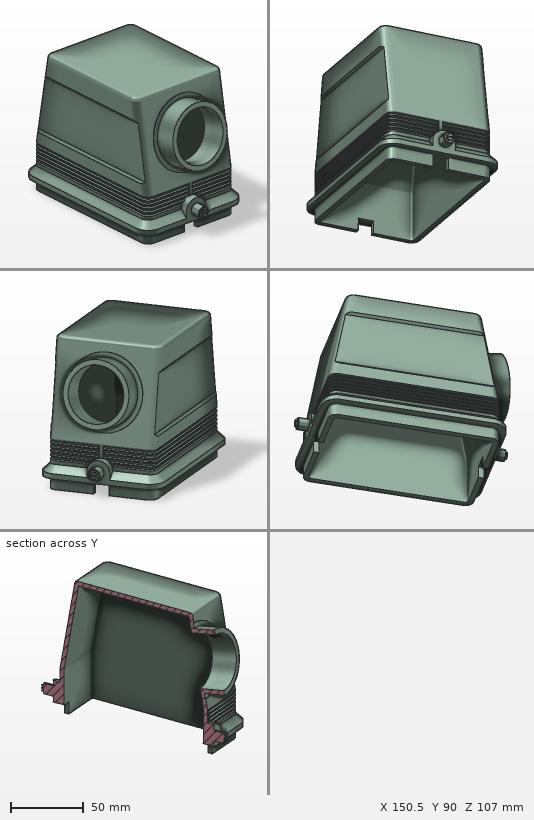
import cadquery as cq
import math


overall_length = 150.5
hood_length = 121.0
hood_width = 79.3
hood_height = 107.0
wall = 3.8
corner_radius = 6.0
top_radius = 3.0
knee_height = 36.3
end_tilt = 10.0

flange_width = 90.0
flange_reach = (flange_width - hood_width) / 2
flange_length = hood_length + 2 * flange_reach
flange_bottom = 9.2
flange_edge_top = 13.0
flange_slope_top = 18.2

groove_count = 5
groove_pitch = 3.0
first_groove_height = 22.1
groove_depth = 1.2
groove_floor = 1.2
groove_slope = 0.6

recess_depth = 1.5
recess_bottom = 44.7
recess_top = 90.3
recess_slope = 1.8

notch_width = 11.7

boss_radius = 8.6
pin_height = 17.6
pin_radius = 4.2
pin_chamfer = 0.5
tip_radius = 2.4
tip_length = 1.4
tip_slot = 0.6
end_rib_width = 3.0
end_rib_top = 35.8

entry_distance = 36.1
entry_radius = 24.4
entry_bore_radius = 20.6
entry_length = 16.3
entry_ring_radius = 28.1
entry_ring_depth = 0.5

embed = wall / 2
margin = 3.0


def tapered_block(length, width, height, corner):
    """Solid with vertical lower ends, leaning upper ends and rounded upright corners."""
    half = length / 2
    lean = (height - knee_height) * math.tan(math.radians(end_tilt))
    outline = [
        (-half, 0),
        (half, 0),
        (half, knee_height),
        (half - lean, height),
        (lean - half, height),
        (-half, knee_height),
    ]
    block = cq.Workplane("XZ").polyline(outline).close().extrude(width / 2, both=True)
    return block.faces("<Y or >Y").edges("not |X").fillet(corner)


def rim_outline(offset):
    """Skirt outline, grown outwards by offset."""
    outline = cq.Sketch().rect(hood_length + 2 * offset, hood_width + 2 * offset)
    return outline.vertices().fillet(corner_radius + offset)


def rim_slab(offset, bottom, top):
    return cq.Workplane("XY", origin=(0, 0, bottom)).placeSketch(rim_outline(offset)).extrude(top - bottom)


def rim_slope(lower_offset, upper_offset, bottom, top):
    """Sloping-sided slab that follows the skirt outline."""
    lower = rim_outline(lower_offset)
    upper = rim_outline(upper_offset).moved(cq.Location(cq.Vector(0, 0, top - bottom)))
    return cq.Workplane("XY", origin=(0, 0, bottom)).placeSketch(lower, upper).loft()


def groove_cutter(height):
    """Ring with a trapezoidal section, centred on the given height."""
    floor_bottom = height - groove_floor / 2
    floor_top = height + groove_floor / 2
    bottom = floor_bottom - groove_slope
    top = floor_top + groove_slope
    core = rim_slab(-groove_depth, floor_bottom, floor_top)
    core = core.union(rim_slope(0, -groove_depth, bottom, floor_bottom))
    core = core.union(rim_slope(-groove_depth, 0, floor_top, top))
    return rim_slab(margin, bottom, top).cut(core)


def side_recess_cutter():
    """Recess with sloping top and bottom for the +Y side, open at both ends."""
    surface = hood_width / 2
    floor = surface - recess_depth
    outline = [
        (surface, recess_bottom),
        (floor, recess_bottom + recess_slope),
        (floor, recess_top - recess_slope),
        (surface, recess_top),
        (surface + margin, recess_top),
        (surface + margin, recess_bottom),
    ]
    return cq.Workplane("YZ").polyline(outline).close().extrude(hood_length / 2 + margin, both=True)


def pin_end():
    """Boss, locking pin and end rib of the +X end."""
    skirt_face = hood_length / 2
    boss_face = flange_length / 2
    pin_end_face = overall_length / 2 - tip_length
    root = skirt_face - embed

    boss = cq.Workplane("YZ", origin=(root, 0, pin_height)).circle(boss_radius).extrude(boss_face - root)
    foot = cq.Workplane("XY", origin=(0, 0, flange_bottom)).box(
        boss_face - root, 2 * boss_radius, pin_height - flange_bottom, centered=(False, True, False)
    ).translate((root, 0, 0))
    rib = cq.Workplane("XY", origin=(0, 0, pin_height)).box(
        embed, end_rib_width, end_rib_top - pin_height, centered=(False, True, False)
    ).translate((root, 0, 0))

    pin = cq.Workplane("YZ", origin=(boss_face, 0, pin_height)).circle(pin_radius)
    pin = pin.extrude(pin_end_face - boss_face).faces(">X").chamfer(pin_chamfer)
    tip = cq.Workplane("YZ", origin=(pin_end_face, 0, pin_height)).circle(tip_radius).extrude(tip_length)
    slot = cq.Workplane("YZ", origin=(pin_end_face, 0, pin_height))
    slot = slot.rect(2 * tip_radius, tip_slot).extrude(tip_length)
    return boss.union(foot).union(rib).union(pin).union(tip.cut(slot))


hood = tapered_block(hood_length, hood_width, hood_height, corner_radius)
hood = hood.faces(">Z").edges().fillet(top_radius)

for index in range(groove_count):
    hood = hood.cut(groove_cutter(first_groove_height + index * groove_pitch))

recess = side_recess_cutter()
hood = hood.cut(recess).cut(recess.mirror("XZ"))

hood = hood.union(rim_slab(flange_reach, flange_bottom, flange_edge_top))
hood = hood.union(rim_slope(flange_reach, 0, flange_edge_top, flange_slope_top))

end = pin_end()
hood = hood.union(end).union(end.mirror("YZ"))

cavity = tapered_block(
    hood_length - 2 * wall, hood_width - 2 * wall, hood_height - wall, corner_radius - wall
)
hood = hood.cut(cavity)

notch = cq.Workplane("XY").box(hood_length + margin, notch_width, flange_bottom, centered=(True, True, False))
hood = hood.cut(notch)

tilt = math.radians(end_tilt)
entry_plane = cq.Plane(
    origin=(
        hood_length / 2 - entry_distance * math.sin(tilt),
        0,
        knee_height + entry_distance * math.cos(tilt),
    ),
    xDir=(0, 1, 0),
    normal=(math.cos(tilt), 0, math.sin(tilt)),
)
entry_base = cq.Workplane(entry_plane).workplane(offset=-embed)
hood = hood.cut(cq.Workplane(entry_plane).circle(entry_ring_radius).extrude(-entry_ring_depth))
hood = hood.union(entry_base.circle(entry_radius).extrude(embed + entry_length))
bore_start = cq.Workplane(entry_plane).workplane(offset=-wall - margin)
hood = hood.cut(bore_start.circle(entry_bore_radius).extrude(wall + 2 * margin + entry_length))

result = hood